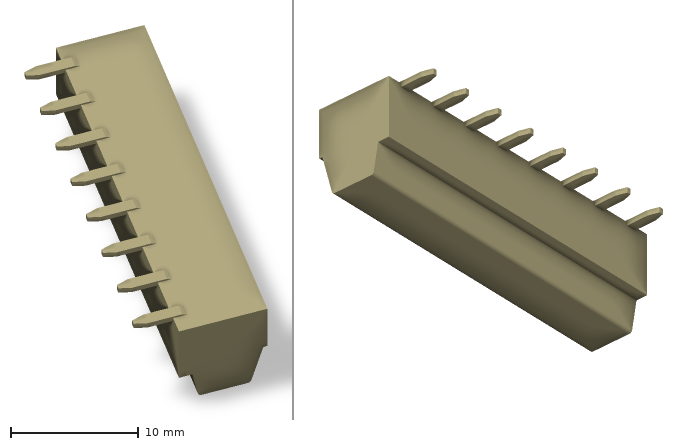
import cadquery as cq
import math

length = 30.48
body_depth = 7.3
body_height = 8.5
front_side_height = 5.7
back_side_height = 4.57
front_shoulder = 1.13
back_shoulder = 0.35
front_draft = 10
back_draft = 15
nose_fillet = 0.3

pin_count = 8
pin_pitch = length / pin_count
pin_width = 0.95
pin_tip_width = 0.37
pin_thickness = 0.52
pin_rise = 0.18
pin_reach = 3.17
pin_taper = 1.0
pin_overlap = 1.15
pin_bevel = 0.4


def make_housing():
    """Block stepping in to a tapered nose with rounded lower edges; front at Y = 0, bottom at Z = 0."""
    front_nose_height = body_height - front_side_height
    back_nose_height = body_height - back_side_height
    nose_front = front_shoulder + front_nose_height * math.tan(math.radians(front_draft))
    nose_back = body_depth - back_shoulder - back_nose_height * math.tan(math.radians(back_draft))
    profile = [
        (0, body_height),
        (0, front_nose_height),
        (front_shoulder, front_nose_height),
        (nose_front, 0),
        (nose_back, 0),
        (body_depth - back_shoulder, back_nose_height),
        (body_depth, back_nose_height),
        (body_depth, body_height),
    ]
    block = cq.Workplane("YZ").polyline(profile).close().extrude(length)
    return block.faces("<Z").edges("|X").fillet(nose_fillet)


def make_pin(center_x):
    """Blade pointing toward -Y with a tapered tip and a sloping rear end."""
    half_width = pin_width / 2
    half_tip = pin_tip_width / 2
    outline = [
        (-half_width, pin_overlap),
        (-half_width, pin_taper - pin_reach),
        (-half_tip, -pin_reach),
        (half_tip, -pin_reach),
        (half_width, pin_taper - pin_reach),
        (half_width, pin_overlap),
    ]
    blade = cq.Workplane("XY").polyline(outline).close().extrude(pin_thickness)
    blade = blade.faces(">Y").edges(">Z").chamfer(pin_rise, pin_bevel)
    return blade.translate((center_x, 0, body_height + pin_rise - pin_thickness))


result = make_housing()
for index in range(pin_count):
    result = result.union(make_pin((index + 0.5) * pin_pitch))